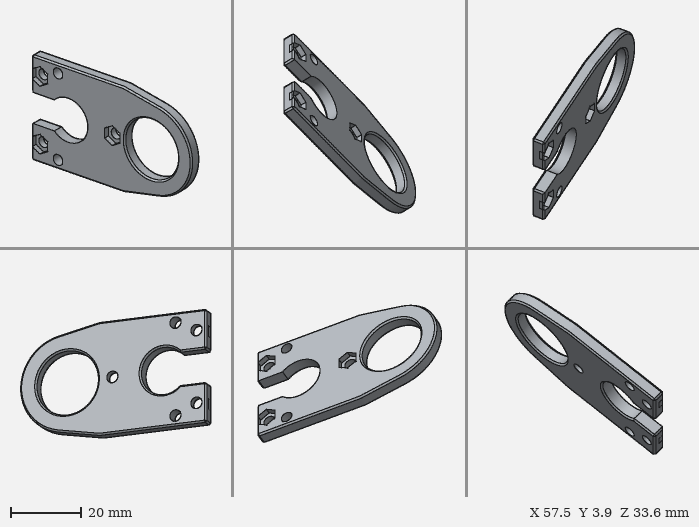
import cadquery as cq
import math

length = 57.5
width = 33.6
thickness = 3.9
edge_chamfer = 0.5
half_width = width / 2

end_radius = 14.55
end_x = length - end_radius
large_hole_diameter = 19.0

shoulder_x = 33.0
shoulder_radius = 5.0

slot_half_width = 4.95
relief_radius = 7.0
relief_x = 13.15

screw_diameter = 3.4
nut_across_flats = 5.45
nut_depth = 1.7
nut_positions = [(3.0, -10.8), (3.0, 10.8), (29.0, 0)]
plain_hole_positions = [(9.5, -13.8), (9.5, 13.8)]


def front_sketch():
    """Start a sketch on the front face; X and Y map to global X and Z, negative extrusion goes inwards."""
    return cq.Workplane("XZ")


def outline_plate():
    run = end_x - shoulder_x
    shoulder_distance = math.hypot(run, half_width)
    tangent_angle = math.atan2(half_width, -run) - math.acos(end_radius / shoulder_distance)
    tangent_x = end_x + end_radius * math.cos(tangent_angle)
    tangent_z = end_radius * math.sin(tangent_angle)

    slot_end_x = relief_x - math.sqrt(relief_radius**2 - slot_half_width**2)

    plate = (
        front_sketch()
        .moveTo(0, half_width)
        .lineTo(shoulder_x, half_width)
        .lineTo(tangent_x, tangent_z)
        .threePointArc((length, 0), (tangent_x, -tangent_z))
        .lineTo(shoulder_x, -half_width)
        .lineTo(0, -half_width)
        .lineTo(0, -slot_half_width)
        .lineTo(slot_end_x, -slot_half_width)
        .threePointArc((relief_x + relief_radius, 0), (slot_end_x, slot_half_width))
        .lineTo(0, slot_half_width)
        .close()
        .extrude(-thickness)
    )
    margin = 0.6
    shoulder_zone = cq.selectors.BoxSelector(
        (shoulder_x - margin, -margin, -width),
        (shoulder_x + margin, thickness + margin, width),
    )
    shoulder_edges = plate.edges("|Y").edges(shoulder_zone)
    return shoulder_edges.fillet(shoulder_radius)


def chamfer_plate(plate):
    """Chamfer every rim except the front rim of the slot and its relief."""

    def is_outer(edge):
        center = edge.Center()
        return center.x > shoulder_x or abs(center.z) > relief_radius

    front_outer = plate.faces("<Y").edges().filter(is_outer)
    slotted_end = plate.faces("<X").edges()
    back = plate.faces(">Y").edges()
    return front_outer.add(slotted_end).add(back).chamfer(edge_chamfer)


def cut_large_hole(plate):
    """Cut the large hole and chamfer its front and back rims."""
    radius = large_hole_diameter / 2
    hole = front_sketch().center(end_x, 0).circle(radius).extrude(-thickness)
    front_cone = cq.Solid.makeCone(
        radius + edge_chamfer, radius, edge_chamfer,
        pnt=cq.Vector(end_x, 0, 0), dir=cq.Vector(0, 1, 0),
    )
    back_cone = front_cone.mirror("XZ", cq.Vector(0, thickness / 2, 0))
    return plate.cut(hole).cut(cq.Workplane(front_cone)).cut(cq.Workplane(back_cone))


def cut_screw_holes(plate):
    positions = nut_positions + plain_hole_positions
    holes = front_sketch().pushPoints(positions).circle(screw_diameter / 2).extrude(-thickness)
    return plate.cut(holes)


def cut_nut_pockets(plate):
    across_corners = nut_across_flats / math.cos(math.pi / 6)
    for x, z in nut_positions:
        pocket = (
            front_sketch()
            .center(x, z)
            .transformed(rotate=(0, 0, 90))
            .polygon(6, across_corners)
            .extrude(-nut_depth)
        )
        plate = plate.cut(pocket)
    return plate


result = chamfer_plate(outline_plate())
result = cut_large_hole(result)
result = cut_screw_holes(result)
result = cut_nut_pockets(result)